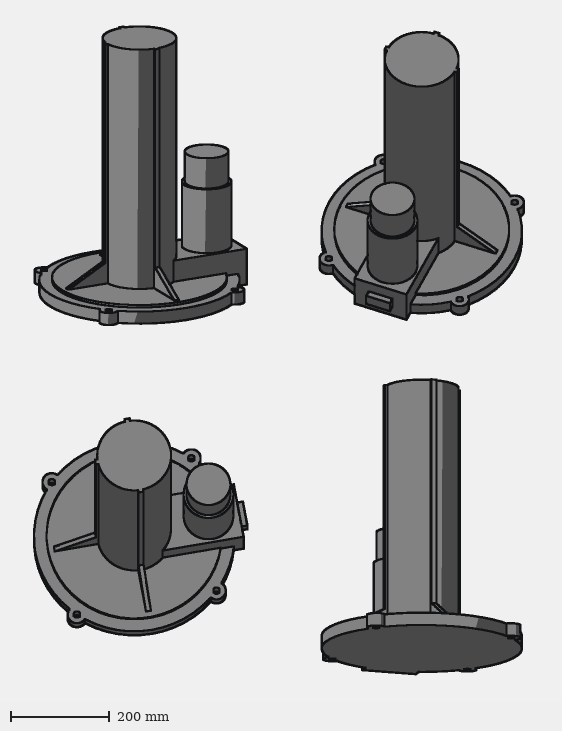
import cadquery as cq

flange_radius = 203.1
flange_height = 26.0
disc_radius = 177.5
disc_top = 31.5

lug_radius = 19.0
lug_hole_diameter = 13.0
lug_count = 4
first_lug_angle = 45

column_radius = 75.0
column_top = 542.5
rib_width = 10.5
rib_reach = 79.5
rib_foot_reach = 164.5
rib_angles = (0, 180, 270)

gearbox_width = 114
gearbox_back = 215.5
gearbox_top = 76.5
stub_width = 52.0
stub_back = 228.6
stub_bottom = 26.0
stub_top = 50.5

motor_y = 153.0
motor_radius = 50.5
motor_top = 212.5
cap_radius = 44.5
cap_top = 277.0


def cylinder(radius, bottom, top, y=0):
    """Upright cylinder between two heights."""
    return cq.Workplane("XY", origin=(0, y, bottom)).circle(radius).extrude(top - bottom)


def block(width, front, back, bottom, top):
    """Box centred on X, between two Y positions and two heights."""
    return cq.Workplane("XY").box(
        width, back - front, top - bottom, centered=(True, False, False)
    ).translate((0, front, bottom))


def rib(angle):
    """Full-height strip on the column that widens into a sloping foot level with the gearbox."""
    outline = [
        (0, flange_height),
        (rib_foot_reach, flange_height),
        (rib_foot_reach, disc_top),
        (rib_reach, gearbox_top),
        (rib_reach, column_top),
        (0, column_top),
    ]
    profile = cq.Workplane("XZ").polyline(outline).close()
    return profile.extrude(rib_width / 2, both=True).rotate((0, 0, 0), (0, 0, 1), angle)


def at_lugs():
    """Workplane holding the lug centres."""
    return cq.Workplane("XY").polarArray(flange_radius, first_lug_angle, 360, lug_count)


base = cylinder(flange_radius, 0, flange_height)
base = base.union(at_lugs().circle(lug_radius).extrude(flange_height))
base = base.cut(at_lugs().circle(lug_hole_diameter / 2).extrude(flange_height))
base = base.union(cylinder(disc_radius, 0, disc_top))

column = cylinder(column_radius, 0, column_top)
for rib_angle in rib_angles:
    column = column.union(rib(rib_angle))

gearbox = block(gearbox_width, 0, gearbox_back, 0, gearbox_top)
stub = block(stub_width, motor_y, stub_back, stub_bottom, stub_top)
motor = cylinder(motor_radius, 0, motor_top, motor_y)
motor = motor.union(cylinder(cap_radius, 0, cap_top, motor_y))
drive = gearbox.union(stub).union(motor)

result = base.union(column).union(drive)